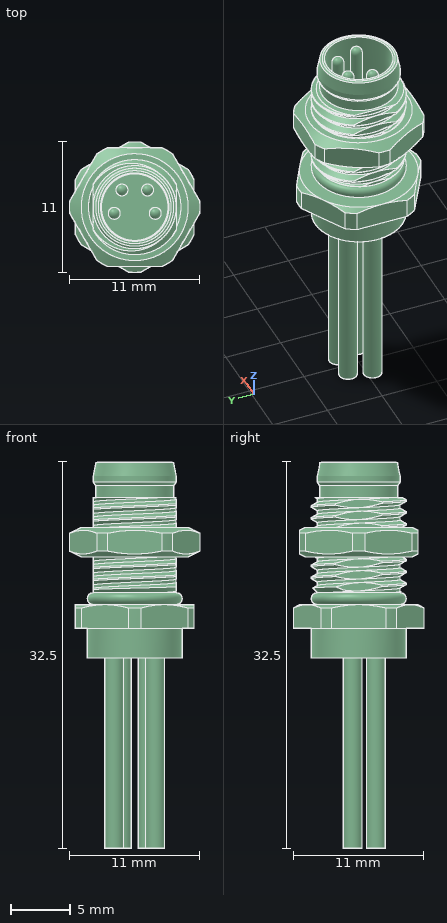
import cadquery as cq
import math

wire_length = 16.0
sleeve_length = 2.5
flange_height = 2.0
seal_height = 1.0
thread_length = 8.0
neck_length = 1.0
head_length = 2.0

sleeve_bottom = wire_length
flange_bottom = sleeve_bottom + sleeve_length
seal_bottom = flange_bottom + flange_height
thread_bottom = seal_bottom + seal_height
thread_top = thread_bottom + thread_length
head_bottom = thread_top + neck_length
rim_top = head_bottom + head_length

thread_radius = 4.0
thread_pitch = 1.0
thread_depth = 0.51
thread_root_radius = thread_radius - thread_depth
thread_flank_angle = math.radians(30)
crest_width = thread_pitch / 8
flat_offset = 3.5

neck_radius = 3.3
head_radius = 3.5
head_band_bottom = head_bottom + 0.3
head_band_top = head_bottom + 0.8
rim_outer_radius = 3.28
rim_face_radius = 3.07
rim_bevel_height = 0.07
socket_floor_radius = 2.8
socket_mouth_radius = 2.88
socket_depth = 6.0
socket_floor = rim_top - socket_depth

across_flats = 10.0
corner_radius = 5.5
flange_face_radius = 5.0
flange_chamfer_height = 0.29
nut_face_radius = 4.5
nut_chamfer_height = 0.5
nut_height = 2.5
nut_bottom = thread_bottom + 3.0
nut_countersink = 0.5

sleeve_radius = 4.0
seal_radius = 4.0

contact_circle_radius = 1.8
contact_angles = (math.radians(53.3), math.radians(-16.8))
pin_radius = 0.5
pin_tip_depth = 0.25
wire_radius = 0.8

overlap = 0.1


def cylinder(radius, bottom, height):
    return cq.Workplane("XY").workplane(offset=bottom).circle(radius).extrude(height)


def turned(points):
    """Solid of revolution about Z from (radius, height) outline points."""
    return cq.Workplane("XZ").polyline(points).close().revolve(360, (0, 0), (0, 1))


def hexagon(height, corner_angle):
    """Hexagonal prism standing on z = 0, with one corner at the given angle from X."""
    prism = cq.Workplane("XY").polygon(6, across_flats / math.cos(math.pi / 6)).extrude(height)
    return prism.rotate((0, 0, 0), (0, 0, 1), corner_angle)


def flange():
    """Hexagonal flange with rounded corners, chamfered on its upper face only."""
    envelope = turned(
        [
            (0, 0),
            (corner_radius, 0),
            (corner_radius, flange_height - flange_chamfer_height),
            (flange_face_radius, flange_height),
            (0, flange_height),
        ]
    )
    return hexagon(flange_height, 30).intersect(envelope).translate((0, 0, flange_bottom))


def nut():
    """Lock nut chamfered on both faces, its bore countersunk around the thread."""
    bore_radius = thread_root_radius - overlap
    countersink_radius = bore_radius + nut_countersink
    envelope = turned(
        [
            (bore_radius, nut_countersink),
            (countersink_radius, 0),
            (nut_face_radius, 0),
            (corner_radius, nut_chamfer_height),
            (corner_radius, nut_height - nut_chamfer_height),
            (nut_face_radius, nut_height),
            (countersink_radius, nut_height),
            (bore_radius, nut_height - nut_countersink),
        ]
    )
    return hexagon(nut_height, 0).intersect(envelope).translate((0, 0, nut_bottom))


def thread():
    """Right-hand thread with a flat on either side in X and a tapered lower end.

    A ridge swept along a helix is joined to its core over-long at both ends, then trimmed. Its
    crest passes -X at whole pitches from the thread ends.
    """
    overrun = 2 * thread_pitch
    swept_length = thread_length + 2 * overrun
    base_radius = thread_root_radius - overlap
    half_crest = crest_width / 2
    half_base = half_crest + (thread_radius - base_radius) * math.tan(thread_flank_angle)
    helix = cq.Wire.makeHelix(thread_pitch, swept_length, thread_root_radius)
    ridge = (
        cq.Workplane("XZ")
        .polyline(
            [
                (base_radius, -half_base),
                (thread_radius, -half_crest),
                (thread_radius, half_crest),
                (base_radius, half_base),
            ]
        )
        .close()
        .sweep(cq.Workplane(obj=helix), isFrenet=True)
        .rotate((0, 0, 0), (0, 0, 1), 180)
        .translate((0, 0, thread_bottom - overrun))
    )
    core_overrun = 2 * overrun
    core = cylinder(thread_root_radius, thread_bottom - core_overrun, thread_length + 2 * core_overrun)
    outer_radius = thread_radius + overlap
    taper_height = outer_radius - thread_root_radius
    envelope = turned(
        [
            (0, thread_bottom),
            (thread_root_radius, thread_bottom),
            (outer_radius, thread_bottom + taper_height),
            (outer_radius, thread_top),
            (0, thread_top),
        ]
    )
    slab = cq.Workplane("XY").box(2 * flat_offset, 4 * thread_radius, 2 * rim_top)
    return core.union(ridge, clean=False).intersect(envelope.intersect(slab), clean=False)


def base():
    """Sleeve below the flange, running up through it to the round sealing ring."""
    seal_round = seal_height / 2
    seal_inner_radius = seal_radius - seal_round
    outline = (
        cq.Workplane("XZ")
        .moveTo(0, sleeve_bottom)
        .lineTo(sleeve_radius, sleeve_bottom)
        .lineTo(sleeve_radius, flange_bottom)
        .lineTo(seal_inner_radius, flange_bottom)
        .lineTo(seal_inner_radius, seal_bottom)
        .threePointArc((seal_radius, seal_bottom + seal_round), (seal_inner_radius, thread_bottom))
        .lineTo(0, thread_bottom)
        .close()
    )
    return outline.revolve(360, (0, 0), (0, 1))


def head():
    """Neck and tapered snap-in collar with a bevelled rim."""
    return turned(
        [
            (0, thread_top),
            (neck_radius, thread_top),
            (neck_radius, head_bottom),
            (head_radius, head_band_bottom),
            (head_radius, head_band_top),
            (rim_outer_radius, rim_top - rim_bevel_height),
            (rim_face_radius, rim_top),
            (0, rim_top),
        ]
    )


def socket():
    """Blind, slightly tapered bore around the contacts."""
    return turned(
        [
            (0, socket_floor),
            (socket_floor_radius, socket_floor),
            (socket_mouth_radius, rim_top),
            (0, rim_top),
        ]
    )


def pin():
    """Contact pin with a hemispherical tip, on the Z axis and rooted in the socket floor."""
    root = socket_floor - overlap
    tip_centre = rim_top - pin_tip_depth - pin_radius
    tip = cq.Workplane("XY").sphere(pin_radius).translate((0, 0, tip_centre))
    return cylinder(pin_radius, root, tip_centre - root).union(tip)


def wire():
    """Straight round wire on the Z axis, its upper end inside the sleeve."""
    return cylinder(wire_radius, 0, wire_length + overlap)


def contact_positions():
    """The four contact centres, in pairs mirrored about the YZ plane."""
    for angle in contact_angles:
        x = contact_circle_radius * math.cos(angle)
        y = contact_circle_radius * math.sin(angle)
        yield x, y
        yield -x, y


body = base().union(flange()).union(head()).union(nut())
body = body.union(thread(), clean=False).cut(socket(), clean=False)
for x, y in contact_positions():
    body = body.union(pin().translate((x, y, 0)), clean=False)
    body = body.union(wire().translate((x, y, 0)), clean=False)

result = cq.Workplane(body.solids().val())